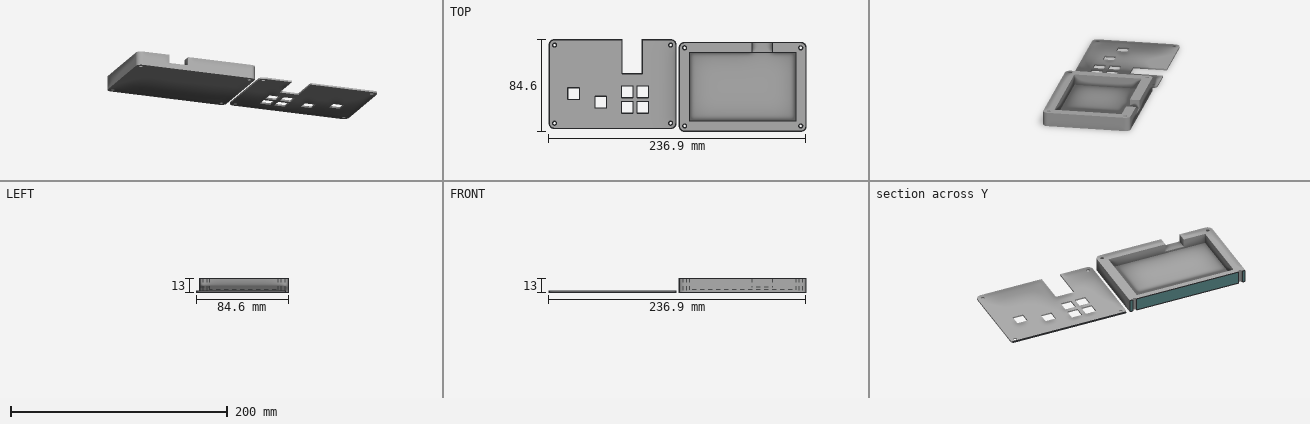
import cadquery as cq

length = 117.0
width = 82.0
corner_radius = 5.0
screw_diameter = 3.4
screw_inset = 5.0

case_height = 13.0
floor_thickness = 3.0
pocket_length = 98.0
pocket_width = 63.0
pocket_offset_y = 0.25
port_width = 18.6
port_left = 67.25
port_sill_height = 5.0

plate_thickness = 1.5
plate_shift_x = -119.92
plate_shift_y = 2.57
plate_notch_depth = 31.4
key_size = 10.5
key_pitch = 14.3
key_block_center = (79.2, 26.75)
single_key_centers = [(22.6, 32.2), (47.6, 24.4)]

port_center_x = port_left + port_width / 2 - length / 2


def drilled_slab(thickness):
    """Rounded rectangular slab on Z = 0 with a screw hole in each corner."""
    return (
        cq.Workplane("XY")
        .rect(length, width)
        .extrude(thickness)
        .edges("|Z")
        .fillet(corner_radius)
        .faces(">Z")
        .workplane()
        .rect(length - 2 * screw_inset, width - 2 * screw_inset, forConstruction=True)
        .vertices()
        .hole(screw_diameter)
    )


def make_case():
    """Open tray with a port notch cut through its rear wall."""
    pocket = (
        cq.Workplane("XY", origin=(0, pocket_offset_y, floor_thickness))
        .rect(pocket_length, pocket_width)
        .extrude(case_height - floor_thickness)
    )
    pocket_rear = pocket_offset_y + pocket_width / 2
    port = cq.Workplane("XY").box(
        port_width,
        width / 2 - pocket_rear,
        case_height - port_sill_height,
        centered=(True, False, False),
    )
    port = port.translate((port_center_x, pocket_rear, port_sill_height))
    return drilled_slab(case_height).cut(pocket).cut(port)


def key_centers():
    """Centres of the key openings: two single keys and a two by two block."""
    centers = list(single_key_centers)
    block_x, block_y = key_block_center
    for side_x in (-1, 1):
        for side_y in (-1, 1):
            centers.append((block_x + side_x * key_pitch / 2, block_y + side_y * key_pitch / 2))
    return centers


def make_plate():
    """Thin cover with key openings and a notch in its rear edge."""
    keys = (
        cq.Workplane("XY", origin=(-length / 2, -width / 2, 0))
        .pushPoints(key_centers())
        .rect(key_size, key_size)
        .extrude(plate_thickness)
    )
    notch = (
        cq.Workplane("XY")
        .center(port_center_x, width / 2 - plate_notch_depth / 2)
        .rect(port_width, plate_notch_depth)
        .extrude(plate_thickness)
    )
    plate = drilled_slab(plate_thickness).cut(keys).cut(notch)
    return plate.translate((plate_shift_x, plate_shift_y, 0))


case = make_case()
plate = make_plate()

result = cq.Compound.makeCompound([case.val(), plate.val()])